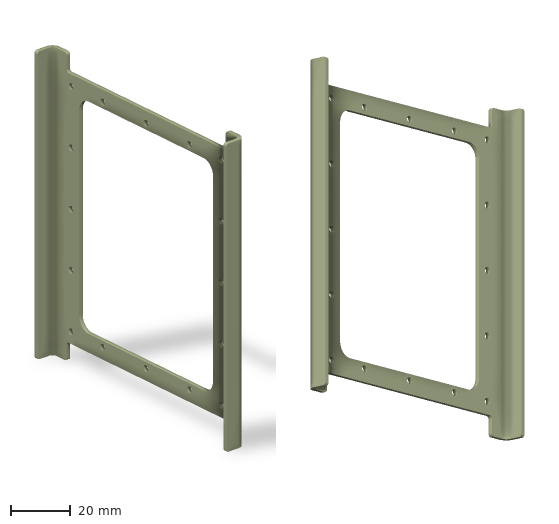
import cadquery as cq

width = 100.0
depth = 8.5
height = 113.5
thickness = 1.6
bend_inner_radius = 1.7
bend_outer_radius = bend_inner_radius + thickness

notch_width = 82.9
notch_floor_z = 49.7
corner_radius = 1.0

window_width = 69.7
window_height = 85.6
window_radius = 5.0

hole_diameter = 2.4
hole_pitch = 22.6
hole_column_x = 39.0
hole_row_z = 2 * hole_pitch


def centered_box(size_x, size_y, size_z):
    """Box centred in X and Z, with its front face at Y = 0."""
    return cq.Workplane("XY").box(size_x, size_y, size_z, centered=(True, False, True))


def make_channel():
    """Web at the back with two flanges bent toward -Y."""
    outer = centered_box(width, depth, height)
    outer = outer.edges("|Z and >Y").fillet(bend_outer_radius)
    inner = centered_box(width - 2 * thickness, depth - thickness, height)
    inner = inner.edges("|Z and >Y").fillet(bend_inner_radius)
    return outer.cut(inner)


def cut_end_notches(body):
    """Notch the web at both ends, rounding the roots and the tab tips."""
    notch_depth = height / 2 - notch_floor_z
    notch_center_z = notch_floor_z + notch_depth / 2
    for side in (-1, 1):
        notch = centered_box(notch_width, depth, notch_depth)
        body = body.cut(notch.translate((0, 0, side * notch_center_z)))
    notch_zone = cq.selectors.BoxSelector(
        (-notch_width / 2 - corner_radius, 0, -height),
        (notch_width / 2 + corner_radius, 2 * depth, height),
    )
    return body.edges("|Y").edges(notch_zone).fillet(corner_radius)


def round_flange_tips(body):
    """Round the free corners of both flanges."""
    return body.faces("<Y").edges("|X").fillet(corner_radius)


def cut_window(body):
    window = centered_box(window_width, depth, window_height)
    return body.cut(window.edges("|Y").fillet(window_radius))


def drill_holes(body):
    """Five holes down each side and three between them at each end."""
    side_points = [(x, i * hole_pitch) for x in (-hole_column_x, hole_column_x) for i in range(-2, 3)]
    end_points = [(i * hole_pitch, z) for z in (-hole_row_z, hole_row_z) for i in range(-1, 2)]
    drills = (
        cq.Workplane("XZ")
        .pushPoints(side_points + end_points)
        .circle(hole_diameter / 2)
        .extrude(-depth)
    )
    return body.cut(drills)


frame = make_channel()
frame = cut_end_notches(frame)
frame = round_flange_tips(frame)
frame = cut_window(frame)
result = drill_holes(frame)